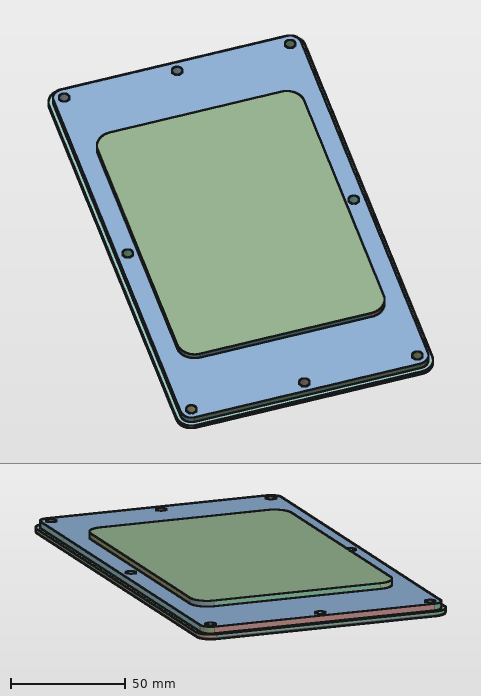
import cadquery as cq

flange_length = 200.8
flange_width = 117.3
flange_corner_radius = 6.9
flange_top = 2.4
bottom_fillet = 1.0

ledge = 2.0
body_length = flange_length - 2 * ledge
body_width = flange_width - 2 * ledge
body_corner_radius = flange_corner_radius - ledge
body_top = 5.4

pad_length = 132.8
pad_width = 94.6
pad_corner_radius = 8.0
total_height = 8.0

hole_diameter = 4.6
hole_x = flange_length / 2 - flange_corner_radius
hole_y = flange_width / 2 - flange_corner_radius


def rounded_slab(length, width, corner_radius, top):
    """Slab centred on the Z axis, standing on Z = 0, with rounded vertical edges."""
    slab = cq.Workplane("XY").rect(length, width).extrude(top)
    return slab.edges("|Z").fillet(corner_radius)


def make_flange():
    flange = rounded_slab(flange_length, flange_width, flange_corner_radius, flange_top)
    return flange.faces("<Z").edges().fillet(bottom_fillet)


def hole_centres():
    """Points of a 3 x 3 grid around the rim, without the middle one."""
    centres = []
    for x in (-hole_x, 0, hole_x):
        for y in (-hole_y, 0, hole_y):
            if (x, y) != (0, 0):
                centres.append((x, y))
    return centres


def make_holes():
    holes = cq.Workplane("XY").pushPoints(hole_centres())
    return holes.circle(hole_diameter / 2).extrude(total_height)


body = rounded_slab(body_length, body_width, body_corner_radius, body_top)
pad = rounded_slab(pad_length, pad_width, pad_corner_radius, total_height)
result = make_flange().union(body).union(pad).cut(make_holes())